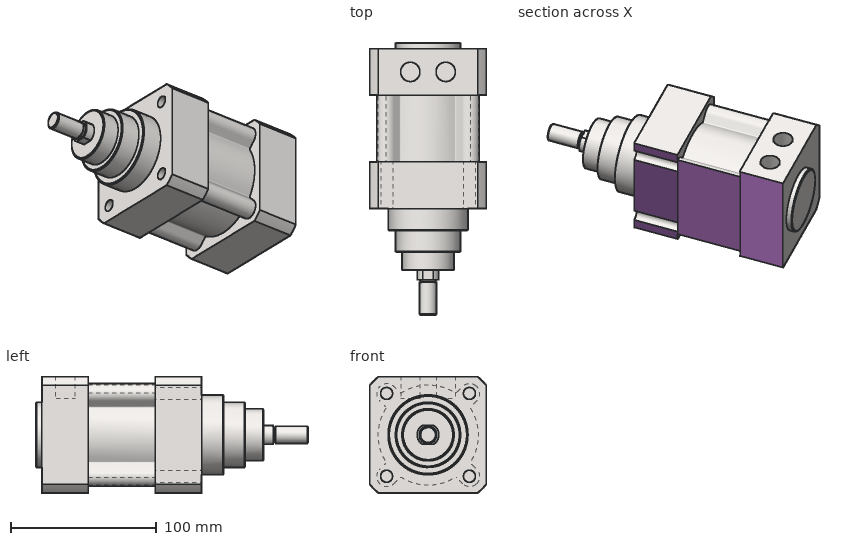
import cadquery as cq
import math

OVERALL_LENGTH = 187.0
REAR_FACE_Y = OVERALL_LENGTH / 2

COVER_SIDE = 80.0
COVER_LENGTH = 32.0
COVER_CORNER_RADIUS = 52.5

BOSS_CHAMFER_LENGTH = 0.5
BOSS_CHAMFER_DEPTH = 1.0
REAR_BOSS_RADIUS = 22.5
REAR_BOSS_LENGTH = 4.1
FRONT_BOSSES = [(27.5, 15.1), (22.5, 14.8), (18.0, 12.5)]

PORT_DIAMETER = 13.3
PORT_SPACING = 24.3
PORT_DEPTH = 15.0

BARREL_LENGTH = 45.8
BARREL_RADIUS = 34.5
RIB_RADIUS = 7.0
RIB_ROOT_FILLET = 1.0

BOLT_SPACING = 56.8
BOLT_HOLE_DIAMETER = 8.2

COLLAR_RADIUS = 7.5
COLLAR_LENGTH = 6.5
COLLAR_FLATS_WIDTH = 13.0
ROD_RADIUS = 6.0
ROD_CHAMFER = 0.7
NECK_LENGTH = 1.7
NECK_SHOULDER = 1.1
NECK_RADIUS = ROD_RADIUS - NECK_SHOULDER

REAR_COVER_START = REAR_BOSS_LENGTH
BARREL_START = REAR_COVER_START + COVER_LENGTH
FRONT_COVER_START = BARREL_START + BARREL_LENGTH
FRONT_COVER_END = FRONT_COVER_START + COVER_LENGTH
COLLAR_START = FRONT_COVER_END + sum(length for _, length in FRONT_BOSSES)
NECK_START = COLLAR_START + COLLAR_LENGTH
ROD_END_START = NECK_START + NECK_LENGTH


def section_plane(station):
    """Sketch plane across the axis; its normal points toward the rod tip (-Y)."""
    return cq.Workplane("XZ", origin=(0, REAR_FACE_Y - station, 0))


def disc(station, radius, length):
    return section_plane(station).circle(radius).extrude(length)


def make_cover_block(station):
    """Square block trimmed by a coaxial cylinder, which rounds off its corners."""
    block = section_plane(station).rect(COVER_SIDE, COVER_SIDE).extrude(COVER_LENGTH)
    return block.intersect(disc(station, COVER_CORNER_RADIUS, COVER_LENGTH))


def make_rear_cover():
    boss = disc(0, REAR_BOSS_RADIUS, REAR_BOSS_LENGTH)
    boss = boss.faces(">Y").chamfer(BOSS_CHAMFER_LENGTH, BOSS_CHAMFER_DEPTH)
    port_y = REAR_FACE_Y - REAR_COVER_START - COVER_LENGTH / 2
    ports = (
        cq.Workplane("XY", origin=(0, port_y, COVER_SIDE / 2))
        .rarray(PORT_SPACING, 1.9, 2, 1)
        .circle(PORT_DIAMETER / 2)
        .extrude(-PORT_DEPTH)
    )
    return make_cover_block(REAR_COVER_START).union(boss).cut(ports)


def make_barrel():
    barrel = disc(BARREL_START, BARREL_RADIUS, BARREL_LENGTH)
    diagonal = BOLT_SPACING * math.sqrt(2)
    for angle in (45, -45):
        rib_pair = (
            section_plane(BARREL_START)
            .slot2D(diagonal + 2 * RIB_RADIUS, 2 * RIB_RADIUS, angle)
            .extrude(BARREL_LENGTH)
        )
        barrel = barrel.union(rib_pair)

    root_reach = BARREL_RADIUS + RIB_ROOT_FILLET
    root_zone = cq.selectors.BoxSelector(
        (-root_reach, -OVERALL_LENGTH, -root_reach), (root_reach, OVERALL_LENGTH, root_reach)
    )
    on_core = [
        edge
        for edge in barrel.edges("|Y").edges(root_zone).vals()
        if math.isclose(math.hypot(edge.Center().x, edge.Center().z), BARREL_RADIUS, abs_tol=0.02)
    ]
    return barrel.newObject(on_core).fillet(RIB_ROOT_FILLET)


def make_front_cover():
    cover = make_cover_block(FRONT_COVER_START)
    bolt_holes = (
        section_plane(FRONT_COVER_START)
        .rarray(BOLT_SPACING, BOLT_SPACING, 2, 2)
        .circle(BOLT_HOLE_DIAMETER / 2)
        .extrude(COVER_LENGTH)
    )
    cover = cover.cut(bolt_holes)
    station = FRONT_COVER_END
    for radius, length in FRONT_BOSSES:
        boss = disc(station, radius, length)
        boss = boss.faces("<Y").chamfer(BOSS_CHAMFER_LENGTH, BOSS_CHAMFER_DEPTH)
        cover = cover.union(boss)
        station += length
    return cover


def make_rod():
    flats = section_plane(COLLAR_START).rect(2 * COLLAR_RADIUS, COLLAR_FLATS_WIDTH).extrude(COLLAR_LENGTH)
    collar = disc(COLLAR_START, COLLAR_RADIUS, COLLAR_LENGTH).intersect(flats)
    neck = disc(NECK_START, NECK_RADIUS, NECK_LENGTH)
    shoulder = section_plane(NECK_START).circle(ROD_RADIUS).extrude(NECK_SHOULDER, taper=45)
    end = disc(ROD_END_START, ROD_RADIUS, OVERALL_LENGTH - ROD_END_START)
    end = end.faces("<Y").chamfer(ROD_CHAMFER)
    return collar.union(neck).union(shoulder).union(end)


rear_cover = make_rear_cover()
barrel = make_barrel()
front_cover = make_front_cover()
rod = make_rod()

result = cq.Compound.makeCompound([rear_cover.val(), barrel.val(), front_cover.val(), rod.val()])